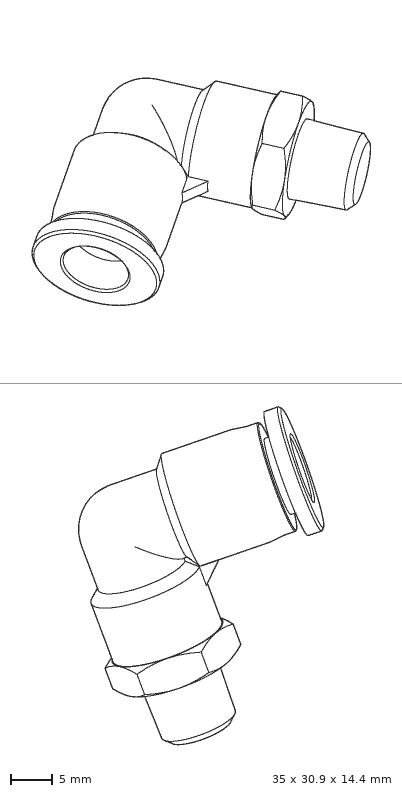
import cadquery as cq
import math


ELBOW_RADIUS = 5.65
OUTLET_CONE_START = 5.95
INLET_CONE_START = 6.02
CONE_END = 7.2

OUTLET_RADIUS = 14 / 2
NUT_START = 15.0

INLET_RADIUS = 14.4 / 2
MOUTH_RADIUS = 13.9 / 2
TAPER_START = 16.03
TAPER_END = 18.02
MOUTH_END = 19.55
MOUTH_CHAMFER = 0.15

GUSSET_WIDTH = 2.03
GUSSET_CORNER = 4.2
GUSSET_LEG = 8.22

BORE_RADIUS = 8.2 / 2
BORE_FLOOR = 8.75
SLEEVE_RADIUS = 9.7 / 2
SLEEVE_INNER_END = 18.02
FLANGE_START = 20.65
RING_END = 22.7
FLANGE_LENGTH_X = 16.03
FLANGE_LENGTH_Z = 14.0
FLANGE_CHAMFER = 0.3
BORE_CHAMFER = 0.28

HEX_ACROSS_FLATS = 14.25
HEX_END = 19.05
THREAD_END = 27.0
THREAD_ROOT_RADIUS = 4.97
THREAD_TIP_RADIUS = 4.75
THREAD_CHAMFER = 0.88
HEX_CHAMFER_ANGLE = 30


def revolve_along_x(profile):
    """Solid of revolution about X from (distance along X, radius) points."""
    points = [(distance, -radius) for distance, radius in profile]
    return cq.Workplane("XY").polyline(points).close().revolve(360, (0, 0), (1, 0))


def revolve_along_inlet(profile):
    """Solid of revolution about Y from (distance along -Y, radius) points."""
    points = [(radius, -distance) for distance, radius in profile]
    return cq.Workplane("XY").polyline(points).close().revolve(360, (0, 0), (0, 1))


def inlet_cylinder(radius, start, end):
    """Cylinder on the inlet axis between two distances along -Y."""
    return cq.Workplane("XZ", origin=(0, -start, 0)).circle(radius).extrude(end - start)


def make_gusset():
    """Triangular web that bridges the two arms."""
    return (
        cq.Workplane("XY", origin=(GUSSET_CORNER, -GUSSET_CORNER, -GUSSET_WIDTH / 2))
        .polyline([(0, 0), (GUSSET_LEG, 0), (0, -GUSSET_LEG)])
        .close()
        .extrude(GUSSET_WIDTH)
    )


def make_housing():
    """Elbow housing with a rounded corner and a stepped blind inlet bore."""
    outlet_arm = revolve_along_x([
        (0, 0),
        (0, ELBOW_RADIUS),
        (OUTLET_CONE_START, ELBOW_RADIUS),
        (CONE_END, OUTLET_RADIUS),
        (NUT_START, OUTLET_RADIUS),
        (NUT_START, 0),
    ])
    inlet_arm = revolve_along_inlet([
        (0, 0),
        (0, ELBOW_RADIUS),
        (INLET_CONE_START, ELBOW_RADIUS),
        (CONE_END, INLET_RADIUS),
        (TAPER_START, INLET_RADIUS),
        (TAPER_END, MOUTH_RADIUS),
        (MOUTH_END - MOUTH_CHAMFER, MOUTH_RADIUS),
        (MOUTH_END, MOUTH_RADIUS - MOUTH_CHAMFER),
        (MOUTH_END, 0),
    ])
    size = 2 * NUT_START + 2 * MOUTH_END
    outlet_side = (
        cq.Workplane("XY", origin=(0, 0, -size / 2))
        .polyline([(-size, size), (size, size), (size, -size)])
        .close()
        .extrude(size)
    )
    corner = cq.Workplane("XY").sphere(ELBOW_RADIUS)
    body = outlet_arm.intersect(outlet_side).union(inlet_arm.cut(outlet_side))
    body = body.union(corner).union(make_gusset())
    bore = inlet_cylinder(BORE_RADIUS, BORE_FLOOR, MOUTH_END)
    sleeve_seat = inlet_cylinder(SLEEVE_RADIUS, SLEEVE_INNER_END, MOUTH_END)
    return body.cut(bore).cut(sleeve_seat)


def make_release_ring():
    """Sleeve with an oval push flange and a through bore."""
    flange = (
        cq.Workplane("XZ", origin=(0, -FLANGE_START, 0))
        .ellipse(FLANGE_LENGTH_X / 2, FLANGE_LENGTH_Z / 2)
        .extrude(RING_END - FLANGE_START)
        .faces("<Y")
        .edges()
        .chamfer(FLANGE_CHAMFER)
    )
    sleeve = inlet_cylinder(SLEEVE_RADIUS, SLEEVE_INNER_END, FLANGE_START)
    bore = revolve_along_inlet([
        (SLEEVE_INNER_END, 0),
        (SLEEVE_INNER_END, BORE_RADIUS),
        (RING_END - BORE_CHAMFER, BORE_RADIUS),
        (RING_END, BORE_RADIUS + BORE_CHAMFER),
        (RING_END, 0),
    ])
    return flange.union(sleeve).cut(bore)


def make_threaded_nut():
    """Hexagon nut, chamfered on both faces, with a tapered plain thread."""
    face_radius = HEX_ACROSS_FLATS / 2
    corner_radius = face_radius / math.cos(math.pi / 6)
    chamfer_depth = (corner_radius - face_radius) * math.tan(math.radians(HEX_CHAMFER_ANGLE))
    hexagon = (
        cq.Workplane("YZ", origin=(NUT_START, 0, 0))
        .polygon(6, 2 * corner_radius)
        .extrude(HEX_END - NUT_START)
    )
    chamfer_envelope = revolve_along_x([
        (NUT_START, 0),
        (NUT_START, face_radius),
        (NUT_START + chamfer_depth, corner_radius),
        (HEX_END - chamfer_depth, corner_radius),
        (HEX_END, face_radius),
        (HEX_END, 0),
    ])
    thread = revolve_along_x([
        (HEX_END, 0),
        (HEX_END, THREAD_ROOT_RADIUS),
        (THREAD_END - THREAD_CHAMFER, THREAD_TIP_RADIUS),
        (THREAD_END, THREAD_TIP_RADIUS - THREAD_CHAMFER),
        (THREAD_END, 0),
    ])
    return hexagon.intersect(chamfer_envelope).union(thread)


housing = make_housing()
release_ring = make_release_ring()
threaded_nut = make_threaded_nut()

result = cq.Compound.makeCompound([housing.val(), release_ring.val(), threaded_nut.val()])